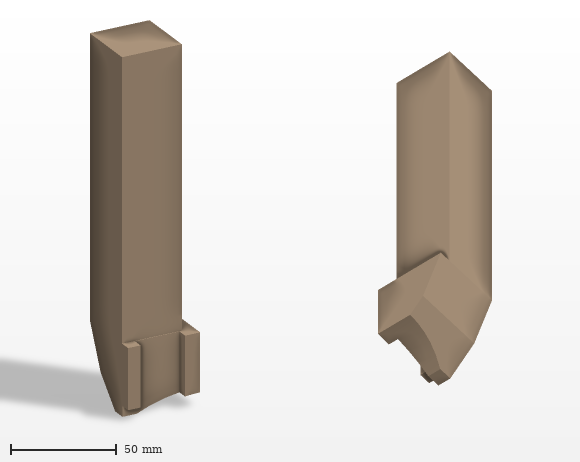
import cadquery as cq
import math

total_height = 185.5
head_width = 38.0
head_depth = 38.8

shank_side = 32.0
head_height = 37.7

slope_break_x = 10.8
slope_break_z = 14.7
tip_left_x = 25.2
tip_right_x = 32.5
step_height = 5.5

slot_front_y = 6.7
slot_back_y = 30.6

relief_start_y = 7.6
relief_height = 6.7


def make_shank():
    """Square bar standing on the head."""
    return (
        cq.Workplane("XY")
        .workplane(offset=head_height)
        .rect(shank_side, shank_side, centered=False)
        .extrude(total_height - head_height)
    )


def make_head():
    """Tapered head profile extruded from front to back."""
    profile = [
        (0, head_height),
        (slope_break_x, slope_break_z),
        (tip_left_x, 0),
        (tip_right_x, 0),
        (tip_right_x, step_height),
        (head_width, step_height),
        (head_width, head_height),
    ]
    return cq.Workplane("XZ").polyline(profile).close().extrude(-head_depth)


def make_slot():
    """Cutter for the slot, running the full height of the head."""
    return cq.Workplane("XY").box(
        head_width - tip_right_x,
        slot_back_y - slot_front_y,
        head_height,
        centered=False,
    ).translate((tip_right_x, slot_front_y, 0))


def make_relief():
    """Cutter for the arched underside, its axis along X."""
    span = head_depth - relief_start_y
    radius = (span**2 + relief_height**2) / (2 * relief_height)
    half_angle = math.atan2(span, radius - relief_height) / 2
    arc_middle = (
        head_depth - radius * math.sin(half_angle),
        relief_height - radius * (1 - math.cos(half_angle)),
    )
    return (
        cq.Workplane("YZ")
        .moveTo(relief_start_y, 0)
        .threePointArc(arc_middle, (head_depth, relief_height))
        .lineTo(head_depth, 0)
        .close()
        .extrude(head_width)
    )


head = make_head().cut(make_slot()).cut(make_relief())
result = head.union(make_shank())